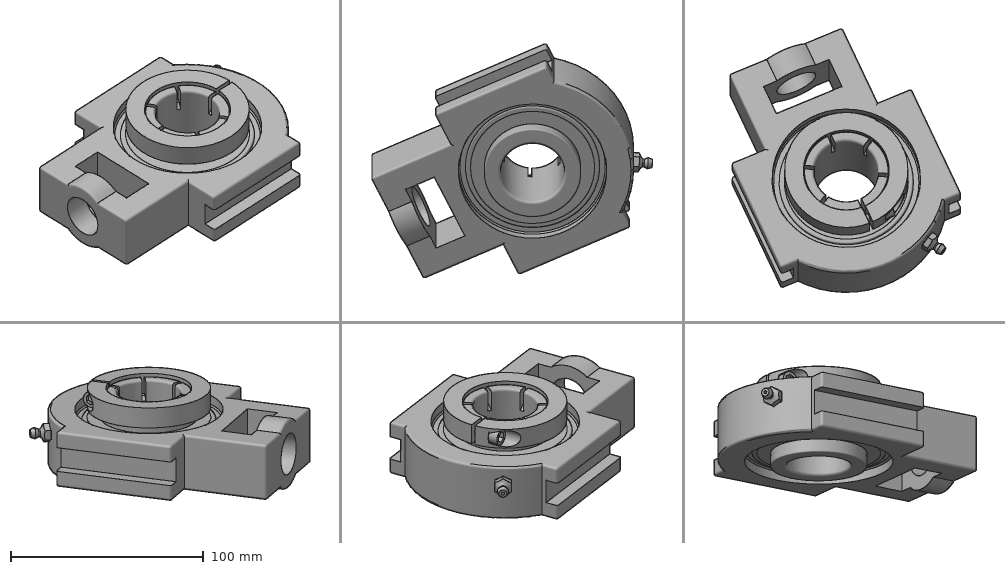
import cadquery as cq
import math


HOUSING_THICKNESS = 30.0
HOUSING_WIDTH = 102.0
BODY_SIZE = 64.0
HEAD_RADIUS = 52.4
TAIL_END_Y = -77.6
EDGE_FILLET = 1.3
GUIDE_WIDTH = 13.0
GUIDE_DEPTH = 6.9
WINDOW_WIDTH = 37.2
WINDOW_LENGTH = 16.5
END_WALL = 13.5
BOSS_RADIUS = 18.6
SCREW_HOLE_DIAMETER = 22.0
RECESS_DIAMETER = 77.0
RECESS_DEPTH = 5.6
RECESS_CHAMFER = 0.8

SEAT_RADIUS = 36.1
OUTER_RING_WIDTH = 21.0
OUTER_RING_BORE = 62.0
OUTER_RING_FILLET = 0.7
SEAL_DIAMETER = 64.3
SEAL_THICKNESS = 2.5
SHAFT_BORE = 33.3
INNER_RING_DIAMETER = 50.0
INNER_RING_BOTTOM = -17.6
INNER_RING_FILLET = 0.5
BORE_FILLET = 1.5
NECK_DIAMETER = 44.5
NECK_CHAMFER = 0.5
NECK_RECESS = 1.7
SLIT_COUNT = 6
SLIT_WIDTH = 2.0
SPLIT_ANGLE = 90
SLIT_SLOPE_RADIUS = 19.5
SLIT_SLOPE_DROP = 2.3

COLLAR_DIAMETER = 64.0
COLLAR_BOTTOM = 15.8
COLLAR_TOP = 26.8
CLAMP_SCREW_Y = 27.0
CLAMP_SCREW_Z = (COLLAR_BOTTOM + COLLAR_TOP) / 2
SCREW_HEAD_DIAMETER = 8.5
SCREW_HEAD_START_X = -13.8
SCREW_HEAD_LENGTH = 5.3
SCREW_SHANK_DIAMETER = 4.1
SCREW_SHANK_END_X = 10.6
SCREW_SOCKET_CORNERS = 5.7
SCREW_SOCKET_DEPTH = 2.7
SCREW_POCKET_DIAMETER = 9.3

NIPPLE_ANGLE = 120.0
NIPPLE_Z = 5.0
NIPPLE_SEAT = 51.7
NIPPLE_HEX_TOP = 55.2
NIPPLE_CONE_TOP = 56.4
NIPPLE_NECK_BOTTOM = 57.3
NIPPLE_NECK_TOP = 58.1
NIPPLE_HEAD_WIDEST = 60.0
NIPPLE_TIP = 62.4
NIPPLE_HEX_FLATS = 8.8
NIPPLE_SHOULDER_DIAMETER = 5.8
NIPPLE_NECK_DIAMETER = 4.1
NIPPLE_HEAD_DIAMETER = 6.0
NIPPLE_TIP_DIAMETER = 4.2
NIPPLE_DUCT_DIAMETER = 1.5
NIPPLE_DUCT_DEPTH = 2.7

BODY_HALF = BODY_SIZE / 2
TOP_Z = HOUSING_THICKNESS / 2


def cylinder_z(diameter, bottom, top):
    return cq.Workplane("XY").workplane(offset=bottom).circle(diameter / 2).extrude(top - bottom)


def cylinder_x(diameter, start, end):
    """Cylinder on the axis of the clamp screw."""
    plane = cq.Workplane("YZ", origin=(start, CLAMP_SCREW_Y, CLAMP_SCREW_Z))
    return plane.circle(diameter / 2).extrude(end - start)


def box_between(x_range, y_range, z_range):
    corners = list(zip(x_range, y_range, z_range))
    size = [high - low for low, high in zip(*corners)]
    return cq.Workplane("XY").box(*size, centered=False).translate(corners[0])


def seat_ball():
    return cq.Workplane("XY").sphere(SEAT_RADIUS)


def housing_plate():
    half_width = HOUSING_WIDTH / 2
    head_half_chord = math.sqrt(HEAD_RADIUS**2 - BODY_HALF**2)
    plate = (
        cq.Workplane("XY")
        .workplane(offset=-TOP_Z)
        .moveTo(head_half_chord, BODY_HALF)
        .lineTo(half_width, BODY_HALF)
        .lineTo(half_width, -BODY_HALF)
        .lineTo(BODY_HALF, -BODY_HALF)
        .lineTo(BODY_HALF, TAIL_END_Y)
        .lineTo(-BODY_HALF, TAIL_END_Y)
        .lineTo(-BODY_HALF, -BODY_HALF)
        .lineTo(-half_width, -BODY_HALF)
        .lineTo(-half_width, BODY_HALF)
        .lineTo(-head_half_chord, BODY_HALF)
        .threePointArc((0, HEAD_RADIUS), (head_half_chord, BODY_HALF))
        .close()
        .extrude(HOUSING_THICKNESS)
    )
    plate = plate.edges("|Z").edges("<X or >X or <Y").fillet(EDGE_FILLET)
    return plate.faces("<Z or >Z").edges().fillet(EDGE_FILLET)


def tail_boss():
    boss = cq.Workplane("XZ", origin=(0, TAIL_END_Y, 0)).circle(BOSS_RADIUS).extrude(-END_WALL)
    return boss.faces("<Y").edges().fillet(EDGE_FILLET)


def guide_groove(side):
    outer = side * HOUSING_WIDTH / 2
    inner = outer - side * GUIDE_DEPTH
    return box_between(
        sorted((inner, outer)), (-BODY_HALF, BODY_HALF), (-GUIDE_WIDTH / 2, GUIDE_WIDTH / 2)
    )


def insert_recess():
    """Recess in the top face, with a chamfer around its floor."""
    floor_z = TOP_Z - RECESS_DEPTH
    recess = cylinder_z(RECESS_DIAMETER, floor_z, TOP_Z)
    return recess.faces("<Z").edges().chamfer(RECESS_CHAMFER)


def make_housing():
    housing = housing_plate().union(tail_boss())
    for side in (-1, 1):
        housing = housing.cut(guide_groove(side))

    window_front = TAIL_END_Y + END_WALL
    window = box_between(
        (-WINDOW_WIDTH / 2, WINDOW_WIDTH / 2),
        (window_front, window_front + WINDOW_LENGTH),
        (-TOP_Z, TOP_Z),
    )
    screw_hole = (
        cq.Workplane("XZ", origin=(0, TAIL_END_Y, 0))
        .circle(SCREW_HOLE_DIAMETER / 2)
        .extrude(-END_WALL)
    )
    housing = housing.cut(window).cut(screw_hole)

    recess = insert_recess()
    housing = housing.cut(recess).cut(recess.mirror("XY"))
    return housing.cut(seat_ball()).cut(nipple_hex())


def make_outer_ring():
    half_width = OUTER_RING_WIDTH / 2
    ring = cylinder_z(2 * SEAT_RADIUS, -half_width, half_width).intersect(seat_ball())
    ring = ring.faces("<Z or >Z").edges().fillet(OUTER_RING_FILLET)
    ring = ring.cut(cylinder_z(OUTER_RING_BORE, -half_width, half_width))
    groove_floor = half_width - SEAL_THICKNESS
    groove = cylinder_z(SEAL_DIAMETER, groove_floor, half_width)
    return ring.cut(groove).cut(groove.mirror("XY"))


def make_seal(side):
    outer_face = OUTER_RING_WIDTH / 2
    bottom, top = sorted((side * outer_face, side * (outer_face - SEAL_THICKNESS)))
    seal = cylinder_z(SEAL_DIAMETER, bottom, top)
    return seal.cut(cylinder_z(INNER_RING_DIAMETER, bottom, top))


def neck_slit(neck_top):
    """Cutter for one slit along +X; its floor is level with the shoulder, then slopes to the bore."""
    slope_drop_per_radius = SLIT_SLOPE_DROP / (SLIT_SLOPE_RADIUS - SHAFT_BORE / 2)
    axis_floor = COLLAR_BOTTOM - slope_drop_per_radius * SLIT_SLOPE_RADIUS
    return (
        cq.Workplane("XZ")
        .moveTo(0, axis_floor)
        .lineTo(SLIT_SLOPE_RADIUS, COLLAR_BOTTOM)
        .lineTo(NECK_DIAMETER / 2, COLLAR_BOTTOM)
        .lineTo(NECK_DIAMETER / 2, neck_top)
        .lineTo(0, neck_top)
        .close()
        .extrude(SLIT_WIDTH / 2, both=True)
    )


def make_inner_ring():
    neck_top = COLLAR_TOP - NECK_RECESS
    ring = cylinder_z(INNER_RING_DIAMETER, INNER_RING_BOTTOM, COLLAR_BOTTOM)
    ring = ring.faces("<Z").edges().fillet(INNER_RING_FILLET)
    neck = cylinder_z(NECK_DIAMETER, COLLAR_BOTTOM, neck_top)
    ring = ring.union(neck.faces(">Z").edges().chamfer(NECK_CHAMFER))
    ring = ring.cut(cylinder_z(SHAFT_BORE, INNER_RING_BOTTOM, neck_top))
    bore_rims = ring.faces("<Z or >Z").edges(cq.selectors.RadiusNthSelector(0))
    ring = bore_rims.fillet(BORE_FILLET)
    slit = neck_slit(neck_top)
    for index in range(SLIT_COUNT):
        angle = SPLIT_ANGLE + index * 360 / SLIT_COUNT
        ring = ring.cut(slit.rotate((0, 0, 0), (0, 0, 1), angle))
    return ring


def make_collar():
    collar = cylinder_z(COLLAR_DIAMETER, COLLAR_BOTTOM, COLLAR_TOP)
    collar = collar.cut(cylinder_z(NECK_DIAMETER, COLLAR_BOTTOM, COLLAR_TOP))
    split = box_between(
        (-SLIT_WIDTH / 2, SLIT_WIDTH / 2), (0, COLLAR_DIAMETER / 2), (COLLAR_BOTTOM, COLLAR_TOP)
    )
    pocket_floor = SCREW_HEAD_START_X + SCREW_HEAD_LENGTH
    head_pocket = cylinder_x(SCREW_POCKET_DIAMETER, -COLLAR_DIAMETER / 2, pocket_floor)
    shank_hole = cylinder_x(SCREW_SHANK_DIAMETER, pocket_floor, SCREW_SHANK_END_X)
    return collar.cut(split).cut(head_pocket).cut(shank_hole)


def make_clamp_screw():
    head_end = SCREW_HEAD_START_X + SCREW_HEAD_LENGTH
    head = cylinder_x(SCREW_HEAD_DIAMETER, SCREW_HEAD_START_X, head_end)
    shank = cylinder_x(SCREW_SHANK_DIAMETER, head_end, SCREW_SHANK_END_X)
    socket = (
        cq.Workplane("YZ", origin=(SCREW_HEAD_START_X, CLAMP_SCREW_Y, CLAMP_SCREW_Z))
        .transformed(rotate=(0, 0, 90))
        .polygon(6, SCREW_SOCKET_CORNERS)
        .extrude(SCREW_SOCKET_DEPTH)
    )
    return head.union(shank).cut(socket)


def place_nipple(shape):
    """Turn a shape built along +X to the direction and height of the nipple."""
    return shape.rotate((0, 0, 0), (0, 0, 1), NIPPLE_ANGLE).translate((0, 0, NIPPLE_Z))


def hex_prism():
    """Hexagon with corners at its top and bottom, along +X from the nipple seat."""
    return (
        cq.Workplane("YZ", origin=(NIPPLE_SEAT, 0, 0))
        .polygon(6, NIPPLE_HEX_FLATS, circumscribed=True)
        .extrude(NIPPLE_CONE_TOP - NIPPLE_SEAT)
    )


def nipple_hex():
    return place_nipple(hex_prism())


def make_nipple():
    hex_corner_radius = NIPPLE_HEX_FLATS / math.sqrt(3)
    shoulder_radius = NIPPLE_SHOULDER_DIAMETER / 2
    cone_envelope = (
        cq.Workplane("XY")
        .moveTo(NIPPLE_SEAT, 0)
        .lineTo(NIPPLE_SEAT, hex_corner_radius)
        .lineTo(NIPPLE_HEX_TOP, hex_corner_radius)
        .lineTo(NIPPLE_CONE_TOP, shoulder_radius)
        .lineTo(NIPPLE_CONE_TOP, 0)
        .close()
        .revolve(360, (0, 0, 0), (1, 0, 0))
    )
    neck_radius = NIPPLE_NECK_DIAMETER / 2
    head = (
        cq.Workplane("XY")
        .moveTo(NIPPLE_CONE_TOP, 0)
        .lineTo(NIPPLE_CONE_TOP, shoulder_radius)
        .lineTo(NIPPLE_NECK_BOTTOM, neck_radius)
        .lineTo(NIPPLE_NECK_TOP, neck_radius)
        .lineTo(NIPPLE_HEAD_WIDEST, NIPPLE_HEAD_DIAMETER / 2)
        .lineTo(NIPPLE_TIP, NIPPLE_TIP_DIAMETER / 2)
        .lineTo(NIPPLE_TIP, 0)
        .close()
        .revolve(360, (0, 0, 0), (1, 0, 0))
    )
    duct = (
        cq.Workplane("YZ", origin=(NIPPLE_TIP, 0, 0))
        .circle(NIPPLE_DUCT_DIAMETER / 2)
        .extrude(-NIPPLE_DUCT_DEPTH)
    )
    return place_nipple(hex_prism().intersect(cone_envelope).union(head).cut(duct))


housing = make_housing()
outer_ring = make_outer_ring()
seals = [make_seal(side) for side in (-1, 1)]
inner_ring = make_inner_ring()
collar = make_collar()
clamp_screw = make_clamp_screw()
nipple = make_nipple()

result = cq.Compound.makeCompound([
    housing.val(),
    outer_ring.val(),
    *[seal.val() for seal in seals],
    inner_ring.val(),
    collar.val(),
    clamp_screw.val(),
    nipple.val(),
])